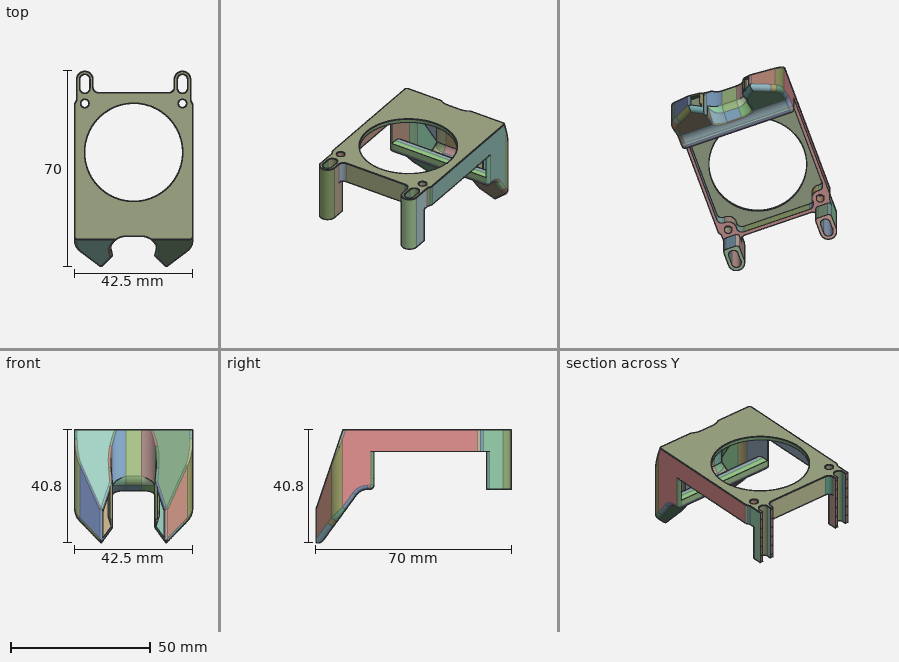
import cadquery as cq
import math


PLATE_SIZE = 42.5
PLATE_REAR_Y = 21.4
PLATE_DEPTH = 8.0
PLATE_ROOF = 1.5
SEAT_SIZE = 40.2
BORE_DIAMETER = 35.0

HOLE_PITCH = 35.0
HOLE_DIAMETER = 2.8
BOSS_RADIUS = 3.0
BOSS_BLEND = 2.0

TAB_RADIUS = 3.0
TAB_TIP_Y = 29.1
TAB_STEP_Y = 18.0
TAB_STEP_LENGTH = 2.2
TAB_BLEND = 2.0
SLOT_WIDTH = 3.5
SLOT_LENGTH = 6.6
LEG_BOTTOM_Z = -21.5

BLOCK_BOTTOM_Z = -21.5
FRONT_TOP_Y = -31.27
FRONT_TILT = 18.7
UNDERSIDE_START_Y = -24.95
UNDERSIDE_ANGLE = 53.9
UNDERSIDE_BLEND = 5.0

TIP_X = 11.65
TIP_Y = -41.16
OUTER_FLANK_ANGLE = 37.0
OUTER_CORNER_RADIUS = 5.0
THROAT_FLAT_HALF = 2.76
THROAT_Y = -30.15
THROAT_BEND = (7.75, -32.85)
THROAT_BEND_END = (8.05, -34.7)
LIP_X = 7.5
THROAT_ROUND_Z = -16.7
THROAT_ROUND_RADIUS = 3.9
THROAT_ROUND_ANGLE = 60.0
THROAT_TAIL = 26.0

DUCT_WALL = 1.0
DUCT_FRONT_WALL = 0.7
DUCT_THROAT_WALL = 1.2
DUCT_FLOOR = 2.35
OUTLET_LIP = 0.55

SEAT_CORNER_RADIUS = 1.15
FRONT_EDGE_RADIUS = 1.0
TIP_EDGE_RADIUS = 0.7
BOTTOM_EDGE_RADIUS = 1.5
THROAT_RIM_RADIUS = 0.5
TOP_CHAMFER = 0.2

HALF_PLATE = PLATE_SIZE / 2
HALF_SEAT = SEAT_SIZE / 2
HOLE_X = HOLE_PITCH / 2
TAB_OUTER_X = HOLE_X + TAB_RADIUS
TAB_INNER_X = HOLE_X - TAB_RADIUS
TAB_CENTRE_Y = TAB_TIP_Y - TAB_RADIUS
LIP_Y = TIP_Y + (TIP_X - LIP_X)
FLANK_CORNER_Y = TIP_Y + (HALF_PLATE - TIP_X) * math.tan(math.radians(OUTER_FLANK_ANGLE))
FLOOR_Z = -60.0
MARGIN = 5.0
TOLERANCE = 0.01


def both_sides(half):
    return half.union(half.mirror("YZ")).clean()


def half_plan():
    """Right half of the plan outline, extruded well below the part."""
    step_mid_x = (TAB_OUTER_X + HALF_PLATE) / 2
    corner = math.radians(OUTER_FLANK_ANGLE)
    setback = OUTER_CORNER_RADIUS * math.tan((math.pi / 2 - corner) / 2)
    flank_end = (
        HALF_PLATE - setback * math.cos(corner),
        FLANK_CORNER_Y - setback * math.sin(corner),
    )
    return (
        cq.Workplane("XY")
        .moveTo(0, PLATE_REAR_Y)
        .lineTo(TAB_INNER_X - TAB_BLEND, PLATE_REAR_Y)
        .tangentArcPoint((TAB_INNER_X, PLATE_REAR_Y + TAB_BLEND), relative=False)
        .lineTo(TAB_INNER_X, TAB_CENTRE_Y)
        .threePointArc((HOLE_X, TAB_TIP_Y), (TAB_OUTER_X, TAB_CENTRE_Y))
        .lineTo(TAB_OUTER_X, TAB_STEP_Y + TAB_STEP_LENGTH / 2)
        .tangentArcPoint((step_mid_x, TAB_STEP_Y), relative=False)
        .tangentArcPoint((HALF_PLATE, TAB_STEP_Y - TAB_STEP_LENGTH / 2), relative=False)
        .lineTo(HALF_PLATE, FLANK_CORNER_Y + setback)
        .tangentArcPoint(flank_end, relative=False)
        .lineTo(TIP_X, TIP_Y)
        .lineTo(LIP_X, LIP_Y)
        .lineTo(*THROAT_BEND_END)
        .threePointArc(bend_middle(), THROAT_BEND)
        .threePointArc(throat_middle(), (THROAT_FLAT_HALF, THROAT_Y))
        .lineTo(0, THROAT_Y)
        .close()
        .extrude(FLOOR_Z)
    )


def throat_arc():
    """Radius and swept angle of the arc that leaves the throat flat tangentially."""
    run = THROAT_BEND[0] - THROAT_FLAT_HALF
    drop = THROAT_Y - THROAT_BEND[1]
    radius = (run**2 + drop**2) / (2 * drop)
    return radius, math.asin(run / radius)


def throat_middle():
    radius, sweep = throat_arc()
    return (
        THROAT_FLAT_HALF + radius * math.sin(sweep / 2),
        THROAT_Y - radius * (1 - math.cos(sweep / 2)),
    )


def bend_middle():
    """Middle point of the arc that carries on tangentially from the throat arc."""
    heading = -throat_arc()[1]
    run = THROAT_BEND_END[0] - THROAT_BEND[0]
    rise = THROAT_BEND_END[1] - THROAT_BEND[1]
    chord_heading = math.atan2(rise, run)
    half_turn = heading - chord_heading
    half_chord = math.hypot(run, rise) / 2
    reach = half_chord / math.cos(half_turn / 2)
    direction = chord_heading + half_turn / 2
    return (
        THROAT_BEND[0] + reach * math.cos(direction),
        THROAT_BEND[1] + reach * math.sin(direction),
    )


def throat_relief(clearance=0.0):
    """Throat outline carried back under the block: round first, then along a straight ramp.

    The clearance widens it and moves it back and up, to keep a wall beside the duct.
    """
    half_width = LIP_X + clearance
    corner_radius = half_width - THROAT_FLAT_HALF
    corner_y = THROAT_Y - corner_radius
    front_y = TIP_Y - 2 * THROAT_TAIL
    turn = math.radians(THROAT_ROUND_ANGLE)

    def round_point(angle):
        return (
            THROAT_Y + THROAT_ROUND_RADIUS * (1 - math.cos(angle)),
            THROAT_ROUND_Z - THROAT_ROUND_RADIUS * math.sin(angle),
        )

    ramp_y, ramp_z = round_point(turn)
    path = (
        cq.Workplane("YZ")
        .moveTo(THROAT_Y, THROAT_ROUND_Z)
        .threePointArc(round_point(turn / 2), (ramp_y, ramp_z))
        .lineTo(ramp_y + THROAT_TAIL * math.sin(turn), ramp_z - THROAT_TAIL * math.cos(turn))
    )
    return (
        cq.Workplane("XY", origin=(0, 0, THROAT_ROUND_Z))
        .moveTo(-THROAT_FLAT_HALF, THROAT_Y)
        .lineTo(THROAT_FLAT_HALF, THROAT_Y)
        .tangentArcPoint((half_width, corner_y), relative=False)
        .lineTo(half_width, front_y)
        .lineTo(-half_width, front_y)
        .lineTo(-half_width, corner_y)
        .tangentArcPoint((-THROAT_FLAT_HALF, THROAT_Y), relative=False)
        .close()
        .sweep(path, normal=(0, 0, 1))
        .translate((0, clearance, clearance))
    )


def side_profile():
    """Side outline with the seat notch, the inclined front and the steep underside."""
    slope = math.radians(UNDERSIDE_ANGLE)
    setback = UNDERSIDE_BLEND * math.tan(slope / 2)
    front_y = TIP_Y - MARGIN
    front_z = -(FRONT_TOP_Y - front_y) / math.tan(math.radians(FRONT_TILT))
    blend_end = (
        UNDERSIDE_START_Y - setback * math.cos(slope),
        BLOCK_BOTTOM_Z - setback * math.sin(slope),
    )
    under_z = BLOCK_BOTTOM_Z - (UNDERSIDE_START_Y - front_y) * math.tan(slope)
    return (
        cq.Workplane("YZ", origin=(-PLATE_SIZE, 0, 0))
        .moveTo(TAB_TIP_Y + MARGIN, 0)
        .lineTo(FRONT_TOP_Y, 0)
        .lineTo(front_y, front_z)
        .lineTo(front_y, under_z)
        .lineTo(*blend_end)
        .tangentArcPoint((UNDERSIDE_START_Y + setback, BLOCK_BOTTOM_Z), relative=False)
        .lineTo(-HALF_SEAT, BLOCK_BOTTOM_Z)
        .lineTo(-HALF_SEAT, -PLATE_DEPTH)
        .lineTo(HALF_SEAT, -PLATE_DEPTH)
        .lineTo(HALF_SEAT, LEG_BOTTOM_Z)
        .lineTo(TAB_TIP_Y + MARGIN, LEG_BOTTOM_Z)
        .close()
        .extrude(2 * PLATE_SIZE)
    )


def leg_gap():
    """Everything between the two legs below the plate."""
    return cq.Workplane("XY").box(
        2 * TAB_INNER_X, 2 * MARGIN, -FLOOR_Z, centered=(True, False, False)
    ).translate((0, HALF_SEAT, FLOOR_Z - PLATE_DEPTH))


def screw_boss():
    """Boss around the right screw hole, blended into the walls of the hollow beside it."""
    wall = HALF_SEAT - HOLE_X
    outside = (HALF_SEAT + HALF_PLATE) / 2
    blend_centre = HALF_SEAT - BOSS_BLEND
    blend_shift = math.sqrt((BOSS_RADIUS + BOSS_BLEND) ** 2 - (wall - BOSS_BLEND) ** 2)
    contact = BOSS_RADIUS / (BOSS_RADIUS + BOSS_BLEND)
    wall_contact = HOLE_X - blend_shift
    boss_contact = (HOLE_X - blend_shift * contact, HOLE_X + (blend_centre - HOLE_X) * contact)
    nearest = HOLE_X - BOSS_RADIUS * math.sqrt(0.5)
    return (
        cq.Workplane("XY")
        .moveTo(outside, outside)
        .lineTo(wall_contact, outside)
        .lineTo(wall_contact, HALF_SEAT)
        .threePointArc(blend_middle(wall_contact, blend_centre), boss_contact)
        .threePointArc((nearest, nearest), boss_contact[::-1])
        .threePointArc(blend_middle(wall_contact, blend_centre)[::-1], (HALF_SEAT, wall_contact))
        .lineTo(outside, wall_contact)
        .close()
        .extrude(-PLATE_DEPTH)
    )


def blend_middle(centre_x, centre_y):
    """Middle of the blend arc between the top of its circle and the screw boss."""
    to_boss = math.atan2(HOLE_X - centre_y, HOLE_X - centre_x)
    angle = (math.pi / 2 + to_boss) / 2
    return (centre_x + BOSS_BLEND * math.cos(angle), centre_y + BOSS_BLEND * math.sin(angle))


def hollow():
    """Square pocket under the roof of the plate, less the two screw bosses."""
    pocket = (
        cq.Workplane("XY", origin=(0, 0, -PLATE_DEPTH))
        .rect(SEAT_SIZE, SEAT_SIZE)
        .extrude(PLATE_DEPTH - PLATE_ROOF)
    )
    boss = screw_boss()
    return pocket.cut(boss).cut(boss.mirror("YZ"))


def openings():
    """Fan bore, two screw holes and the slots that run down through the legs."""
    bore = cq.Workplane("XY").circle(BORE_DIAMETER / 2).extrude(FLOOR_Z)
    screws = (
        cq.Workplane("XY")
        .pushPoints([(-HOLE_X, HOLE_X), (HOLE_X, HOLE_X)])
        .circle(HOLE_DIAMETER / 2)
        .extrude(FLOOR_Z)
    )
    slot_y = TAB_CENTRE_Y - (SLOT_LENGTH - SLOT_WIDTH) / 2
    slots = (
        cq.Workplane("XY")
        .pushPoints([(-HOLE_X, slot_y), (HOLE_X, slot_y)])
        .slot2D(SLOT_LENGTH, SLOT_WIDTH, 90)
        .extrude(FLOOR_Z)
    )
    return bore.union(screws).union(slots)


def duct_plan():
    """Right half of the duct outline, running out through the inner face of the horn tip."""
    flank = math.radians(OUTER_FLANK_ANGLE)
    side_wall = HALF_PLATE - HALF_SEAT
    inner_radius = OUTER_CORNER_RADIUS - side_wall
    inner_corner_y = FLANK_CORNER_Y + DUCT_WALL / math.cos(flank) - side_wall * math.tan(flank)
    setback = inner_radius * math.tan((math.pi / 2 - flank) / 2)
    flank_start = (
        HALF_SEAT - setback * math.cos(flank),
        inner_corner_y - setback * math.sin(flank),
    )
    flank_exit_x = TIP_X - DUCT_WALL
    flank_exit = (flank_exit_x, inner_corner_y - (HALF_SEAT - flank_exit_x) * math.tan(flank))
    radius, sweep = throat_arc()
    outer_radius = radius + DUCT_THROAT_WALL

    def throat_point(angle):
        return (
            THROAT_FLAT_HALF + outer_radius * math.sin(angle),
            THROAT_Y - radius + outer_radius * math.cos(angle),
        )

    lip_exit = (LIP_X + OUTLET_LIP, LIP_Y - OUTLET_LIP)
    return (
        cq.Workplane("XY", origin=(0, 0, -PLATE_ROOF))
        .moveTo(0, -HALF_SEAT)
        .lineTo(HALF_SEAT, -HALF_SEAT)
        .lineTo(HALF_SEAT, inner_corner_y + setback)
        .tangentArcPoint(flank_start, relative=False)
        .lineTo(*flank_exit)
        .lineTo(*lip_exit)
        .lineTo(THROAT_BEND_END[0] + DUCT_THROAT_WALL, THROAT_BEND_END[1])
        .lineTo(*throat_point(sweep))
        .threePointArc(throat_point(sweep / 2), throat_point(0))
        .lineTo(0, throat_point(0)[1])
        .close()
        .extrude(FLOOR_Z)
    )


def duct():
    """Hollow of the block: inside its front wall and floor, and clear of the throat relief."""
    tilt = math.radians(FRONT_TILT)
    slope = math.radians(UNDERSIDE_ANGLE)
    behind_front = side_profile().translate((0, DUCT_FRONT_WALL / math.cos(tilt), 0))
    above_floor = side_profile().translate((0, 0, DUCT_FLOOR / math.cos(slope)))
    inside = both_sides(duct_plan()).intersect(behind_front).intersect(above_floor)
    return inside.cut(throat_relief(DUCT_WALL))


def is_upright(edge):
    return edge.geomType() == "LINE" and abs(edge.tangentAt(0).z) > 1 - TOLERANCE


def is_on_front(point):
    """Whether a point lies on the inclined front face."""
    face_y = FRONT_TOP_Y + point.z * math.tan(math.radians(FRONT_TILT))
    return abs(point.y - face_y) < TOLERANCE


def is_on_underside(point):
    """Whether a point lies on the flat, blended or inclined underside of the block."""
    slope = math.radians(UNDERSIDE_ANGLE)
    setback = UNDERSIDE_BLEND * math.tan(slope / 2)
    run = UNDERSIDE_START_Y + setback - point.y
    if run <= 0:
        drop = 0
    elif run <= UNDERSIDE_BLEND * math.sin(slope):
        drop = UNDERSIDE_BLEND - math.sqrt(UNDERSIDE_BLEND**2 - run**2)
    else:
        drop = (run - setback) * math.tan(slope)
    return abs(point.z - (BLOCK_BOTTOM_Z - drop)) < TOLERANCE


def edges_where(shape, test):
    return [edge for edge in shape.edges().vals() if test(edge, edge.positionAt(0.5))]


def round_edges(shape, test, radius):
    return cq.Workplane(shape.val().fillet(radius, edges_where(shape, test)))


def is_seat_corner(edge, middle):
    on_seat = abs(abs(middle.y) - HALF_SEAT) < TOLERANCE
    return is_upright(edge) and on_seat and middle.z < -PLATE_DEPTH


def is_block_rim(edge, middle):
    """Edges of the underside, apart from those along the throat."""
    if is_upright(edge) or middle.y > -HALF_SEAT + TOLERANCE:
        return False
    points = [edge.positionAt(t) for t in (0, 0.5, 1)]
    if not all(is_on_underside(p) for p in points):
        return False
    across = edge.geomType() == "LINE" and abs(edge.tangentAt(0).x) > 1 - TOLERANCE
    at_back = middle.y > -HALF_SEAT - SEAT_CORNER_RADIUS
    if across:
        return at_back
    return at_back or abs(middle.x) > TIP_X or middle.y < LIP_Y


def is_throat_rim(edge, middle):
    """Edges where the throat relief breaks out of the underside."""
    points = [edge.positionAt(t) for t in (0, 0.5, 1)]
    inside = abs(middle.x) < LIP_X + TOLERANCE and LIP_Y < middle.y < -HALF_SEAT - TOLERANCE
    short = edge.Length() < 2 * LIP_X
    return inside and short and all(is_on_underside(p) for p in points)


def is_tip_edge(edge, middle):
    return is_upright(edge) and abs(middle.y - TIP_Y) < TOLERANCE


def is_front_side(edge, middle):
    """Edges of the inclined front face, apart from its top edge."""
    return middle.z < -TOLERANCE and all(is_on_front(edge.positionAt(t)) for t in (0, 0.5, 1))


plan = half_plan()
rounded_plan = round_edges(plan, is_tip_edge, TIP_EDGE_RADIUS)

body = both_sides(plan).intersect(side_profile()).cut(leg_gap()).cut(throat_relief())
body = round_edges(body, is_seat_corner, SEAT_CORNER_RADIUS)
body = round_edges(body, is_block_rim, BOTTOM_EDGE_RADIUS)
body = round_edges(body, is_throat_rim, THROAT_RIM_RADIUS)
body = body.intersect(both_sides(rounded_plan))
body = round_edges(body, is_front_side, FRONT_EDGE_RADIUS)
body = body.cut(hollow()).cut(duct()).cut(openings())
result = body.faces(">Z").edges().chamfer(TOP_CHAMFER)